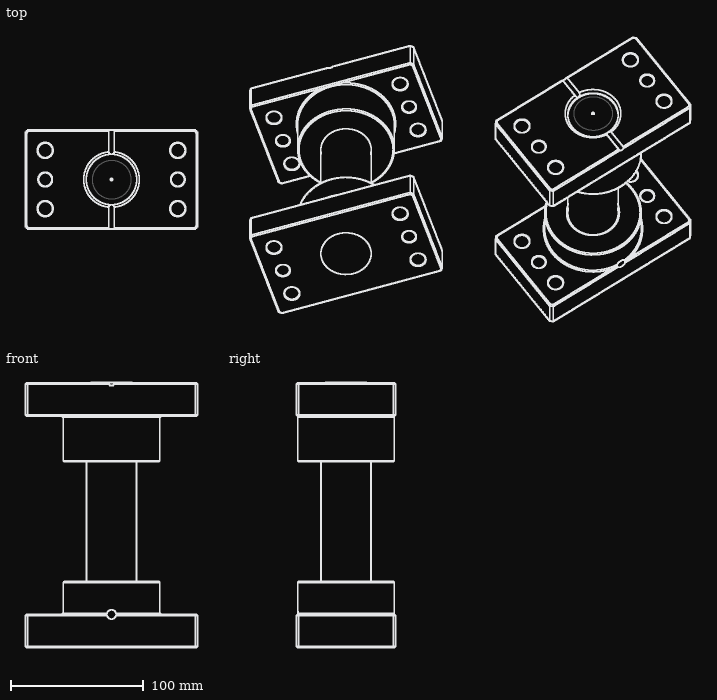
import cadquery as cq

TOTAL_HEIGHT = 200.0
PLATE_LENGTH = 130.0
PLATE_WIDTH = 75.0
PLATE_THICKNESS = 25.0
POST_PROJECTION = 0.5
UPPER_PLATE_TOP = TOTAL_HEIGHT - POST_PROJECTION

CORNER_CHAMFER = 2.0
EDGE_CHAMFER = 1.0

BOSS_DIAMETER = 73.0
LOWER_BOSS_HEIGHT = 25.0
UPPER_BOSS_HEIGHT = 34.5
BOSS_CHAMFER = 1.0
BOSS_FOOT = 1.0

POST_DIAMETER = 38.0
POST_END_RADIUS = 4.5
CENTRE_MARK_DIAMETER = 1.5
CENTRE_MARK_DEPTH = 1.0
UPPER_BORE_CHAMFER = 2.0
LOWER_BORE_CHAMFER = 1.0

HOLE_ROW_X = 50.0
SCREW_HOLE_Y = 22.0
SCREW_HOLE_DIAMETER = 11.0
DOWEL_HOLE_DIAMETER = 10.0
HOLE_CHAMFER = 0.5

GROOVE_DIAMETER = 4.0
CROSS_HOLE_DIAMETER = 7.0


def plate_with_boss(boss_height):
    """Plate resting on z = 0 with a boss rising from its upper face."""
    plate = (
        cq.Workplane("XY")
        .box(PLATE_LENGTH, PLATE_WIDTH, PLATE_THICKNESS, centered=(True, True, False))
        .edges("|Z")
        .chamfer(CORNER_CHAMFER)
        .faces("<Z or >Z")
        .chamfer(EDGE_CHAMFER)
    )
    radius = BOSS_DIAMETER / 2
    boss_top = PLATE_THICKNESS + boss_height
    boss = (
        cq.Workplane("XZ")
        .moveTo(0, PLATE_THICKNESS)
        .lineTo(radius + BOSS_FOOT, PLATE_THICKNESS)
        .lineTo(radius, PLATE_THICKNESS + BOSS_FOOT)
        .lineTo(radius, boss_top - BOSS_CHAMFER)
        .lineTo(radius - BOSS_CHAMFER, boss_top)
        .lineTo(0, boss_top)
        .close()
        .revolve(360, (0, 0, 0), (0, 1, 0))
    )
    flat_width = PLATE_WIDTH - 2 * EDGE_CHAMFER
    boss = boss.intersect(
        cq.Workplane("XY").box(PLATE_LENGTH, flat_width, boss_top, centered=(True, True, False))
    )
    bore = cq.Workplane("XY").circle(POST_DIAMETER / 2).extrude(boss_top)
    return plate.union(boss).cut(bore).cut(mounting_holes())


def mounting_holes():
    """Cutter for the screw and dowel holes of one plate, with both rims chamfered."""
    screw_places = [(x, y) for x in (-HOLE_ROW_X, HOLE_ROW_X) for y in (-SCREW_HOLE_Y, SCREW_HOLE_Y)]
    dowel_places = [(-HOLE_ROW_X, 0), (HOLE_ROW_X, 0)]
    return hole_cutters(screw_places, SCREW_HOLE_DIAMETER).union(
        hole_cutters(dowel_places, DOWEL_HOLE_DIAMETER)
    )


def hole_cutters(places, diameter):
    """Spools through the plate thickness, widened at both ends by the rim chamfer."""
    radius = diameter / 2
    rim_radius = radius + HOLE_CHAMFER
    spool = (
        cq.Workplane("XZ")
        .lineTo(rim_radius, 0)
        .lineTo(radius, HOLE_CHAMFER)
        .lineTo(radius, PLATE_THICKNESS - HOLE_CHAMFER)
        .lineTo(rim_radius, PLATE_THICKNESS)
        .lineTo(0, PLATE_THICKNESS)
        .close()
        .revolve(360, (0, 0, 0), (0, 1, 0))
        .val()
    )
    return cq.Workplane("XY").pushPoints(places).eachpoint(lambda place: spool.located(place))


def bore_countersink(z, chamfer):
    """Cone that breaks the rim of a post bore that opens upward at height z."""
    radius = POST_DIAMETER / 2
    return (
        cq.Workplane("XZ")
        .moveTo(0, z)
        .lineTo(radius + chamfer, z)
        .lineTo(radius, z - chamfer)
        .lineTo(0, z - chamfer)
        .close()
        .revolve(360, (0, 0, 0), (0, 1, 0))
    )


def lower_housing():
    """Plate with its boss upward and a cross hole reaching the bore from the front."""
    body = plate_with_boss(LOWER_BOSS_HEIGHT)
    boss_top = PLATE_THICKNESS + LOWER_BOSS_HEIGHT
    body = body.cut(bore_countersink(boss_top, LOWER_BORE_CHAMFER))
    cross_hole = (
        cq.Workplane("XZ")
        .center(0, PLATE_THICKNESS)
        .circle(CROSS_HOLE_DIAMETER / 2)
        .extrude(PLATE_WIDTH / 2)
    )
    post_space = cq.Workplane("XY").circle(POST_DIAMETER / 2).extrude(boss_top)
    return body.cut(cross_hole.cut(post_space))


def upper_housing():
    """Plate with its boss downward and a vent groove across its upper face."""
    body = (
        plate_with_boss(UPPER_BOSS_HEIGHT)
        .rotate((0, 0, 0), (1, 0, 0), 180)
        .translate((0, 0, UPPER_PLATE_TOP))
    )
    body = body.cut(bore_countersink(UPPER_PLATE_TOP, UPPER_BORE_CHAMFER))
    groove = (
        cq.Workplane("XZ")
        .center(0, UPPER_PLATE_TOP)
        .circle(GROOVE_DIAMETER / 2)
        .extrude(PLATE_WIDTH / 2, both=True)
    )
    return body.cut(groove)


def guide_post():
    """Round post with a rounded upper end and a small centre mark."""
    return (
        cq.Workplane("XY")
        .circle(POST_DIAMETER / 2)
        .extrude(TOTAL_HEIGHT)
        .faces(">Z")
        .edges()
        .fillet(POST_END_RADIUS)
        .faces(">Z")
        .workplane()
        .hole(CENTRE_MARK_DIAMETER, CENTRE_MARK_DEPTH)
    )


result = cq.Compound.makeCompound(
    [lower_housing().val(), upper_housing().val(), guide_post().val()]
)